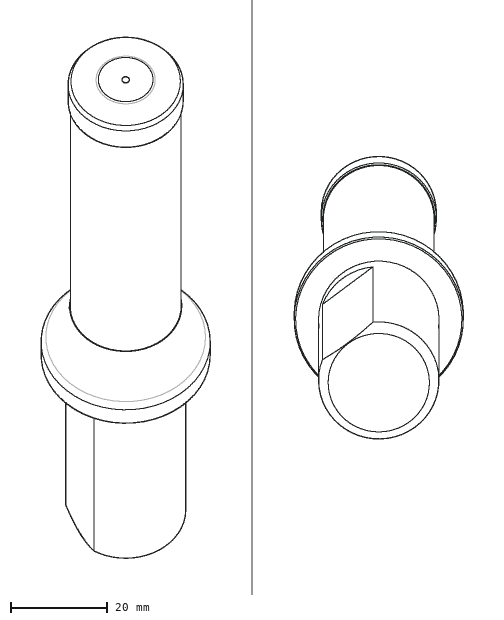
import cadquery as cq
import math

total_length = 153.0

shank_diameter = 25.0
shank_chamfer = 2.0
shank_flat_width = 13.2
shank_flat_top = 51.1

flange_diameter = 35.0
flange_bottom = 56.0
flange_bottom_chamfer = 0.3
flange_rim_top = 61.0
flare_bottom = 62.6
flare_bottom_diameter = 33.0
flare_top = 73.5
flare_top_diameter = 23.3

body_diameter = 23.0

head_bottom = 145.2
head_diameter = 23.9
head_bottom_chamfer = 0.3
head_rim_height = 151.3
head_face_edge_height = 152.4
head_face_edge_diameter = 22.6
head_center_diameter = 12.2
head_center_chamfer_width = 0.5
head_center_chamfer_height = 0.2
head_dimple_diameter = 1.5
head_dimple_depth = 0.2


def revolve_about_z(profile):
    """Turn a closed half profile, drawn as radius against height, about Z."""
    return profile.close().revolve(360, (0, 0, 0), (0, 1, 0))


def flare_middle():
    """Point halfway along the concave flare, whose arc leaves the body parallel to Z."""
    rise = flare_top - flare_bottom
    spread = (flare_bottom_diameter - flare_top_diameter) / 2
    sweep = 2 * math.atan2(spread, rise)
    arc_radius = rise / math.sin(sweep)
    radius = flare_top_diameter / 2 + arc_radius * (1 - math.cos(sweep / 2))
    height = flare_top - arc_radius * math.sin(sweep / 2)
    return radius, height


def make_holder():
    """Shank, flange, flared neck and slender body, with one clamping flat on the -Y side."""
    shank_radius = shank_diameter / 2
    flange_radius = flange_diameter / 2
    profile = (
        cq.Workplane("XZ")
        .moveTo(0, 0)
        .lineTo(shank_radius - shank_chamfer, 0)
        .lineTo(shank_radius, shank_chamfer)
        .lineTo(shank_radius, flange_bottom)
        .lineTo(flange_radius - flange_bottom_chamfer, flange_bottom)
        .lineTo(flange_radius, flange_bottom + flange_bottom_chamfer)
        .lineTo(flange_radius, flange_rim_top)
        .lineTo(flare_bottom_diameter / 2, flare_bottom)
        .threePointArc(flare_middle(), (flare_top_diameter / 2, flare_top))
        .lineTo(body_diameter / 2, flare_top)
        .lineTo(body_diameter / 2, head_bottom)
        .lineTo(0, head_bottom)
    )
    flat_distance = math.sqrt(shank_radius**2 - (shank_flat_width / 2) ** 2)
    flat_cutter = cq.Workplane("XY").box(
        shank_diameter, shank_radius, shank_flat_top, centered=(True, False, False)
    ).translate((0, -flat_distance - shank_radius, 0))
    return revolve_about_z(profile).cut(flat_cutter)


def make_cutting_head():
    """Round head with a shallow conical face, raised center and small dimple."""
    center_radius = head_center_diameter / 2
    dimple_radius = head_dimple_diameter / 2
    profile = (
        cq.Workplane("XZ")
        .moveTo(0, head_bottom)
        .lineTo(head_diameter / 2 - head_bottom_chamfer, head_bottom)
        .lineTo(head_diameter / 2, head_bottom + head_bottom_chamfer)
        .lineTo(head_diameter / 2, head_rim_height)
        .lineTo(head_face_edge_diameter / 2, head_face_edge_height)
        .lineTo(center_radius, total_length - head_center_chamfer_height)
        .lineTo(center_radius - head_center_chamfer_width, total_length)
        .lineTo(dimple_radius, total_length)
        .lineTo(dimple_radius, total_length - head_dimple_depth)
        .lineTo(0, total_length - head_dimple_depth)
    )
    return revolve_about_z(profile)


holder = make_holder()
cutting_head = make_cutting_head()

result = cq.Compound.makeCompound([holder.val(), cutting_head.val()])